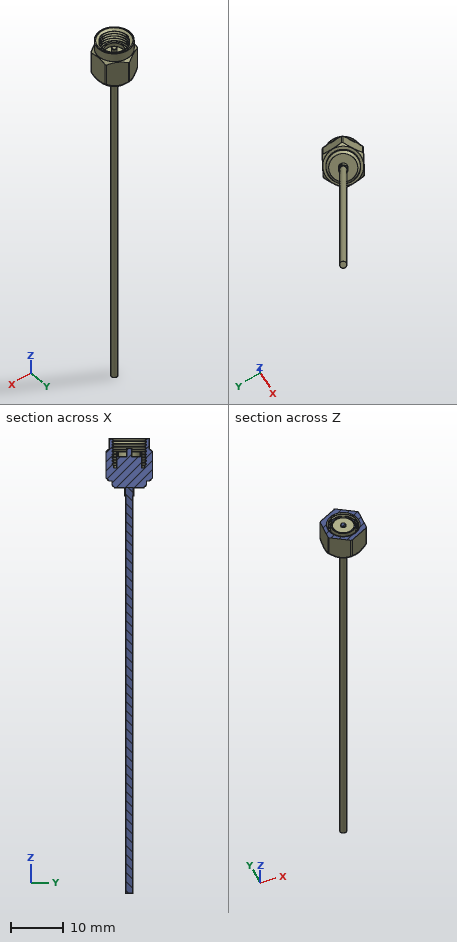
import cadquery as cq
import math

total_height = 87.4

rim_radius = 3.85
hex_across_flats = 7.95
hex_corner_radius = 4.5
hex_top = total_height - 2.0
hex_bottom = total_height - 8.2
hex_top_face_radius = 3.85
hex_top_chamfer_height = 0.5
hex_bottom_face_radius = 3.9
hex_bottom_chamfer_height = 0.6
collar_radius = 3.3
collar_bottom = total_height - 9.5
collar_chamfer = 0.5

bore_radius = 3.0
mouth_radius = 3.6
mouth_depth = 0.35
socket_depth = 5.7
groove_depth = 0.35
groove_count = 8
groove_pitch = 0.6

sleeve_outer_radius = 2.45
sleeve_inner_radius = 2.1
sleeve_drop = 2.6
insulator_drop = 3.5
pin_radius = 0.5
pin_drop = 1.9
pin_tip_chamfer = 0.1

ferrule_radius = 0.92
ferrule_bottom = total_height - 11.1
solder_hole_diameter = 0.5
solder_hole_height = (collar_bottom + ferrule_bottom) / 2
cable_radius = 0.7


def cylinder(radius, bottom, top):
    return cq.Workplane("XY").workplane(offset=bottom).circle(radius).extrude(top - bottom)


def make_hex():
    """Hexagon with corners toward +Y and -Y, turned down to a conical chamfer at both ends."""
    hex_height = hex_top - hex_bottom
    corner_diameter = hex_across_flats / math.cos(math.pi / 6)
    prism = (
        cq.Workplane("XY")
        .workplane(offset=hex_bottom)
        .transformed(rotate=(0, 0, 90))
        .polygon(6, corner_diameter)
        .extrude(hex_height)
    )
    turned_envelope = (
        cq.Workplane("XZ")
        .moveTo(0, hex_bottom)
        .lineTo(hex_bottom_face_radius, hex_bottom)
        .lineTo(hex_corner_radius, hex_bottom + hex_bottom_chamfer_height)
        .lineTo(hex_corner_radius, hex_top - hex_top_chamfer_height)
        .lineTo(hex_top_face_radius, hex_top)
        .lineTo(0, hex_top)
        .close()
        .revolve(360, (0, 0, 0), (0, 1, 0))
    )
    return prism.intersect(turned_envelope)


def make_socket():
    """Bore with a countersunk mouth at the top and V-shaped ring grooves along its wall."""
    socket = cylinder(bore_radius, total_height - socket_depth, total_height)
    mouth = (
        cq.Workplane("XY")
        .workplane(offset=total_height)
        .circle(mouth_radius)
        .workplane(offset=-mouth_depth)
        .circle(bore_radius)
        .loft()
    )
    socket = socket.union(mouth)
    for index in range(groove_count):
        groove_top = total_height - mouth_depth - index * groove_pitch
        groove = (
            cq.Workplane("XZ")
            .moveTo(0, groove_top)
            .lineTo(bore_radius, groove_top)
            .lineTo(bore_radius + groove_depth, groove_top - groove_pitch / 2)
            .lineTo(bore_radius, groove_top - groove_pitch)
            .lineTo(0, groove_top - groove_pitch)
            .close()
            .revolve(360, (0, 0, 0), (0, 1, 0))
        )
        socket = socket.union(groove)
    return socket


def make_inner_contact():
    """Sleeve around a recessed insulator, with the centre pin standing out of it."""
    socket_bottom = total_height - socket_depth
    sleeve_top = total_height - sleeve_drop
    insulator_top = total_height - insulator_drop
    sleeve = cylinder(sleeve_outer_radius, socket_bottom, sleeve_top)
    recess = cylinder(sleeve_inner_radius, insulator_top, sleeve_top)
    pin = cylinder(pin_radius, insulator_top, total_height - pin_drop)
    pin = pin.faces(">Z").chamfer(pin_tip_chamfer)
    return sleeve.cut(recess).union(pin)


def make_ferrule():
    """Short tube below the collar with a solder hole through its -X and +X walls."""
    ferrule = cylinder(ferrule_radius, ferrule_bottom, collar_bottom)
    solder_hole = (
        cq.Workplane("YZ")
        .center(0, solder_hole_height)
        .circle(solder_hole_diameter / 2)
        .extrude(ferrule_radius, both=True)
    )
    return ferrule.cut(solder_hole)


def make_connector():
    collar = cylinder(collar_radius, collar_bottom, hex_bottom)
    collar = collar.faces("<Z").chamfer(collar_chamfer)
    rim = cylinder(rim_radius, hex_bottom, total_height)
    shell = make_hex().union(rim).union(collar).cut(make_socket())
    connector = shell.union(make_inner_contact()).union(make_ferrule())
    return connector.cut(make_cable())


def make_cable():
    """Straight round cable that fills the ferrule and stops level with the collar's lower face."""
    return cylinder(cable_radius, 0, collar_bottom)


connector = make_connector()
cable = make_cable()
result = cq.Compound.makeCompound([connector.val(), cable.val()])